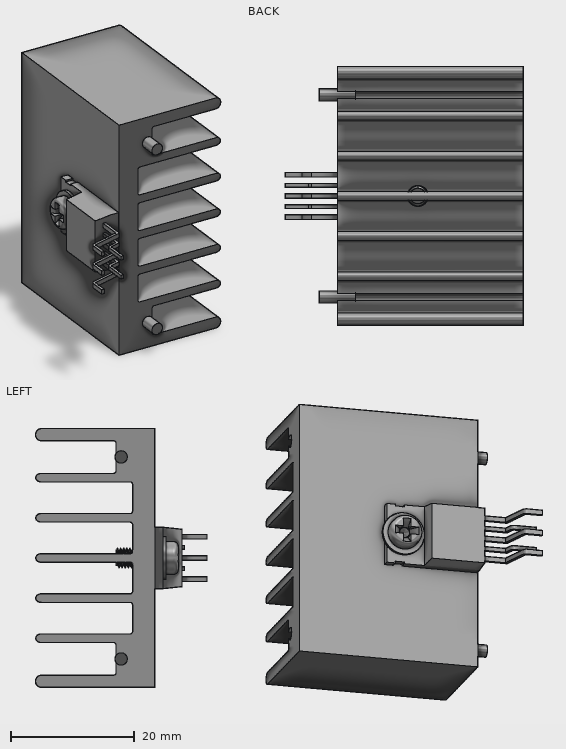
import cadquery as cq
import math


SINK_LENGTH = 30.0
SINK_HEIGHT = 41.8
BASE_THICKNESS = 3.6
CORNER_THICKNESS = 6.25
OUTER_FIN_THICKNESS = 2.0
OUTER_FIN_TIP = 19.25
OUTER_FIN_TIP_LENGTH = OUTER_FIN_THICKNESS / 2
INNER_FIN_THICKNESS = 1.42
INNER_FIN_TIP = 19.23
INNER_FIN_TIP_LENGTH = 0.9
INNER_FIN_PITCH = 6.48
INNER_FIN_COUNT = 5
ROOT_RADIUS = 0.38

PIN_DIAMETER = 2.0
PIN_LENGTH = 2.93
PIN_Y = 5.45
PIN_Z = 16.3

TAB_LEFT = 14.3
TAB_THICKNESS = 1.35
PACKAGE_HEIGHT = 9.95
PACKAGE_RIGHT = 29.9
CASE_LEFT = 20.6
CASE_FRONT = 4.45
CASE_END_DRAFT = 0.38
CASE_SIDE_DRAFT = 0.35
NOTCH_LEFT = 15.75
NOTCH_LENGTH = 1.5
NOTCH_DEPTH = 0.3

LEAD_COUNT = 5
LEAD_PITCH = 1.7
LEAD_THICKNESS = 0.5
LEAD_Y = -2.7
LEAD_BEND_X = 34.0
LEAD_END_X = 38.4
LONG_LEAD_BEND_X = 35.55
LONG_LEAD_Y = -8.2
LONG_LEAD_WIDTH = 0.8
SHORT_LEAD_Y = -4.55
SHORT_LEAD_WIDTH = 0.65
LEAD_BEND_RADIUS = 0.75

SCREW_X = 17.0
SCREW_HOLE_DIAMETER = 3.4
WASHER_DIAMETER = 7.0
WASHER_THICKNESS = 0.5
HEAD_DIAMETER = 5.3
HEAD_FLAT_DIAMETER = 3.7
HEAD_HEIGHT = 1.95
THREAD_DIAMETER = 3.2
THREAD_ROOT_DIAMETER = 2.5
THREAD_PITCH = 0.5
THREAD_RIDGE_WIDTH = 0.38
THREAD_EMBED = 0.05
SCREW_TIP_Y = 6.25
RECESS_SPAN = 3.97
RECESS_FLOOR_SPAN = 1.67
RECESS_WIDTH = 1.25
RECESS_DEPTH = 1.5
RECESS_POINT_DEPTH = 0.4


def box(x0, x1, y0, y1, z0, z1):
    """A box given by its two limits along each axis."""
    return cq.Workplane("XY").box(x1 - x0, y1 - y0, z1 - z0, centered=False).translate((x0, y0, z0))


def rod_x(diameter, x0, x1, y, z):
    """A cylinder along X."""
    return cq.Workplane("YZ", origin=(x0, y, z)).circle(diameter / 2).extrude(x1 - x0)


def rod_y(diameter, y0, y1):
    """A cylinder along Y on the axis of the screw."""
    return cq.Workplane("XZ", origin=(SCREW_X, y0, 0)).circle(diameter / 2).extrude(y0 - y1)


def fin(z_centre, thickness, tip_y, tip_length):
    """A full-length fin whose tip is a half ellipse."""
    half = thickness / 2
    tip_start = tip_y - tip_length
    plate = box(0, SINK_LENGTH, 0, tip_start, z_centre - half, z_centre + half)
    tip = cq.Workplane("YZ", origin=(0, tip_start, z_centre)).ellipse(tip_length, half).extrude(SINK_LENGTH)
    return plate.union(tip)


def make_heatsink():
    half_height = SINK_HEIGHT / 2
    outer_fin_z = half_height - OUTER_FIN_THICKNESS / 2
    last_inner_z = (INNER_FIN_COUNT - 1) / 2 * INNER_FIN_PITCH

    sink = box(0, SINK_LENGTH, 0, BASE_THICKNESS, -half_height, half_height)
    for z0, z1 in ((last_inner_z, half_height), (-half_height, -last_inner_z)):
        sink = sink.union(box(0, SINK_LENGTH, 0, CORNER_THICKNESS, z0, z1))
    for i in range(INNER_FIN_COUNT):
        z = i * INNER_FIN_PITCH - last_inner_z
        sink = sink.union(fin(z, INNER_FIN_THICKNESS, INNER_FIN_TIP, INNER_FIN_TIP_LENGTH))
    for z in (-outer_fin_z, outer_fin_z):
        sink = sink.union(fin(z, OUTER_FIN_THICKNESS, OUTER_FIN_TIP, OUTER_FIN_TIP_LENGTH))

    margin = 0.05
    for root_y in (BASE_THICKNESS, CORNER_THICKNESS):
        roots = cq.selectors.BoxSelector(
            (0, root_y - margin, -half_height + margin), (SINK_LENGTH, root_y + margin, half_height - margin)
        )
        sink = sink.edges("|X").edges(roots).fillet(ROOT_RADIUS)

    for z in (-PIN_Z, PIN_Z):
        sink = sink.cut(rod_x(PIN_DIAMETER, 0, SINK_LENGTH, PIN_Y, z))
        sink = sink.union(rod_x(PIN_DIAMETER, SINK_LENGTH - PIN_LENGTH, SINK_LENGTH + PIN_LENGTH, PIN_Y, z))

    return sink.cut(rod_y(SCREW_HOLE_DIAMETER, 0, SCREW_TIP_Y))


def make_case():
    """The moulded case, narrowing towards its front on three sides."""
    centre_x = (CASE_LEFT + PACKAGE_RIGHT) / 2
    length = PACKAGE_RIGHT - CASE_LEFT
    return (
        cq.Workplane("XZ", origin=(centre_x, -TAB_THICKNESS, 0))
        .rect(length, PACKAGE_HEIGHT)
        .workplane(offset=CASE_FRONT - TAB_THICKNESS)
        .center(CASE_END_DRAFT / 2, 0)
        .rect(length - CASE_END_DRAFT, PACKAGE_HEIGHT - 2 * CASE_SIDE_DRAFT)
        .loft()
    )


def make_lead(z, width, bend_x, end_y):
    """A flat lead, cranked towards -Y at the shared first bend and straightened again at bend_x."""
    half = LEAD_THICKNESS / 2
    slope_angle = math.atan2(LEAD_Y - end_y, bend_x - LEAD_BEND_X)
    mitre = half * math.tan(slope_angle / 2)
    outline = [
        (PACKAGE_RIGHT, LEAD_Y + half),
        (LEAD_BEND_X + mitre, LEAD_Y + half),
        (bend_x + mitre, end_y + half),
        (LEAD_END_X, end_y + half),
        (LEAD_END_X, end_y - half),
        (bend_x - mitre, end_y - half),
        (LEAD_BEND_X - mitre, LEAD_Y - half),
        (PACKAGE_RIGHT, LEAD_Y - half),
    ]
    lead = cq.Workplane("XY", origin=(0, 0, z - width / 2)).polyline(outline).close().extrude(width)
    outer_corner = cq.selectors.NearestToPointSelector((bend_x - mitre, end_y - half, z))
    return lead.edges("|Z").edges(outer_corner).fillet(LEAD_BEND_RADIUS)


def make_package():
    half_height = PACKAGE_HEIGHT / 2
    package = box(TAB_LEFT, PACKAGE_RIGHT, -TAB_THICKNESS, 0, -half_height, half_height)
    for z in (-half_height, half_height):
        notch = box(
            NOTCH_LEFT, NOTCH_LEFT + NOTCH_LENGTH, -TAB_THICKNESS, 0, z - NOTCH_DEPTH, z + NOTCH_DEPTH
        )
        package = package.cut(notch)
    package = package.cut(rod_y(SCREW_HOLE_DIAMETER, -TAB_THICKNESS, 0)).union(make_case())

    short_lead_share = (LEAD_Y - SHORT_LEAD_Y) / (LEAD_Y - LONG_LEAD_Y)
    short_lead_bend_x = LEAD_BEND_X + short_lead_share * (LONG_LEAD_BEND_X - LEAD_BEND_X)
    for i in range(LEAD_COUNT):
        z = (i - (LEAD_COUNT - 1) / 2) * LEAD_PITCH
        if i % 2 == 0:
            lead = make_lead(z, LONG_LEAD_WIDTH, LONG_LEAD_BEND_X, LONG_LEAD_Y)
        else:
            lead = make_lead(z, SHORT_LEAD_WIDTH, short_lead_bend_x, SHORT_LEAD_Y)
        package = package.union(lead)
    return package


def make_recess(face_y):
    """The cross recess: two crossing slots with sloping ends, and a cone at the bottom."""
    floor_y = face_y + RECESS_DEPTH
    slot = (
        cq.Workplane("XY", origin=(SCREW_X, 0, -RECESS_WIDTH / 2))
        .polyline([
            (-RECESS_SPAN / 2, face_y),
            (RECESS_SPAN / 2, face_y),
            (RECESS_FLOOR_SPAN / 2, floor_y),
            (-RECESS_FLOOR_SPAN / 2, floor_y),
        ])
        .close()
        .extrude(RECESS_WIDTH)
    )
    crossing_slot = slot.rotate((SCREW_X, 0, 0), (SCREW_X, 1, 0), 90)
    point = cq.Workplane(cq.Solid.makeCone(
        RECESS_FLOOR_SPAN / 2, 0, RECESS_POINT_DEPTH, cq.Vector(SCREW_X, floor_y, 0), cq.Vector(0, 1, 0)
    ))
    return slot.union(crossing_slot).union(point)


def make_thread(y0, y1):
    """A helical ridge of triangular section, to be joined to the shank."""
    root_radius = THREAD_ROOT_DIAMETER / 2
    base_radius = root_radius - THREAD_EMBED
    half_base = THREAD_RIDGE_WIDTH / 2
    helix = cq.Wire.makeHelix(THREAD_PITCH, y1 - y0, root_radius)
    ridge = (
        cq.Workplane("XZ")
        .polyline([
            (base_radius, -half_base),
            (THREAD_DIAMETER / 2, 0),
            (base_radius, half_base),
        ])
        .close()
        .sweep(cq.Workplane(helix), isFrenet=True)
    )
    return ridge.rotate((0, 0, 0), (1, 0, 0), -90).translate((SCREW_X, y0, 0))


def make_screw():
    washer_front = -TAB_THICKNESS - WASHER_THICKNESS
    head_front = washer_front - HEAD_HEIGHT
    head = rod_y(HEAD_DIAMETER, head_front, washer_front)
    head = head.faces("<Y").edges().fillet((HEAD_DIAMETER - HEAD_FLAT_DIAMETER) / 2)
    head = head.cut(make_recess(head_front))
    washer = rod_y(WASHER_DIAMETER, washer_front, -TAB_THICKNESS)
    shank = rod_y(THREAD_ROOT_DIAMETER, -TAB_THICKNESS, SCREW_TIP_Y)
    thread = make_thread(THREAD_PITCH / 4, SCREW_TIP_Y - THREAD_PITCH / 2)
    return head.union(washer).union(shank).union(thread)


heatsink = make_heatsink().solids().val()
package = make_package().solids().val()
screw = make_screw().solids().val()

result = cq.Compound.makeCompound([heatsink, package, screw])